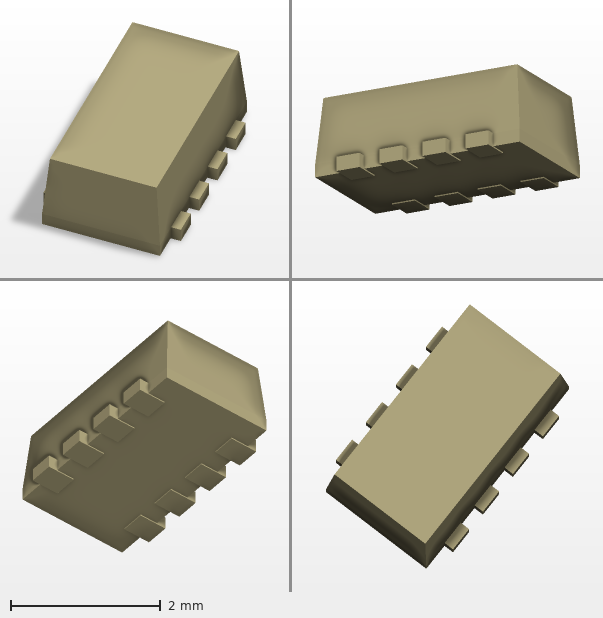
import cadquery as cq
import math

HOUSING_LENGTH = 3.1
HOUSING_WIDTH = 1.7
STANDOFF = 0.02
TOTAL_HEIGHT = 1.15
DRAFT_ANGLE = 4.9

LEAD_SPAN = 1.98
LEAD_LENGTH = 0.42
LEAD_WIDTH = 0.35
LEAD_HEIGHT = 0.2
LEAD_PITCH = 0.65
LEADS_PER_SIDE = 4

MARKER_DIAMETER = 0.5
MARKER_DEPTH = 0.02
MARKER_Y = 0.97

TAPER_HEIGHT = TOTAL_HEIGHT - LEAD_HEIGHT
TAPER_INSET = TAPER_HEIGHT * math.tan(math.radians(DRAFT_ANGLE))
TOP_LENGTH = HOUSING_LENGTH - 2 * TAPER_INSET
TOP_WIDTH = HOUSING_WIDTH - 2 * TAPER_INSET


def make_lead(side, y_center):
    """Rectangular lead whose outer end is at half the lead span; side is -1 or +1 along X."""
    x_center = side * (LEAD_SPAN - LEAD_LENGTH) / 2
    return (
        cq.Workplane("XY")
        .center(x_center, y_center)
        .rect(LEAD_LENGTH, LEAD_WIDTH)
        .extrude(LEAD_HEIGHT)
    )


def make_marker():
    """Disc with its top face level with the top of the housing."""
    return (
        cq.Workplane("XY", origin=(0, MARKER_Y, TOTAL_HEIGHT - MARKER_DEPTH))
        .circle(MARKER_DIAMETER / 2)
        .extrude(MARKER_DEPTH)
    )


def make_housing(inserts):
    """Base band and tapered upper part, with a matching recess for every inserted body."""
    base = (
        cq.Workplane("XY", origin=(0, 0, STANDOFF))
        .rect(HOUSING_WIDTH, HOUSING_LENGTH)
        .extrude(LEAD_HEIGHT - STANDOFF)
    )
    upper = (
        cq.Workplane("XY", origin=(0, 0, LEAD_HEIGHT))
        .rect(HOUSING_WIDTH, HOUSING_LENGTH)
        .workplane(offset=TAPER_HEIGHT)
        .rect(TOP_WIDTH, TOP_LENGTH)
        .loft(ruled=True)
    )
    housing = base.union(upper)
    for insert in inserts:
        housing = housing.cut(insert)
    return housing


leads = []
for side in (-1, 1):
    for index in range(LEADS_PER_SIDE):
        lead_y = (index - (LEADS_PER_SIDE - 1) / 2) * LEAD_PITCH
        leads.append(make_lead(side, lead_y))

marker = make_marker()
housing = make_housing([*leads, marker])

result = cq.Compound.makeCompound([housing.val(), *[lead.val() for lead in leads], marker.val()])